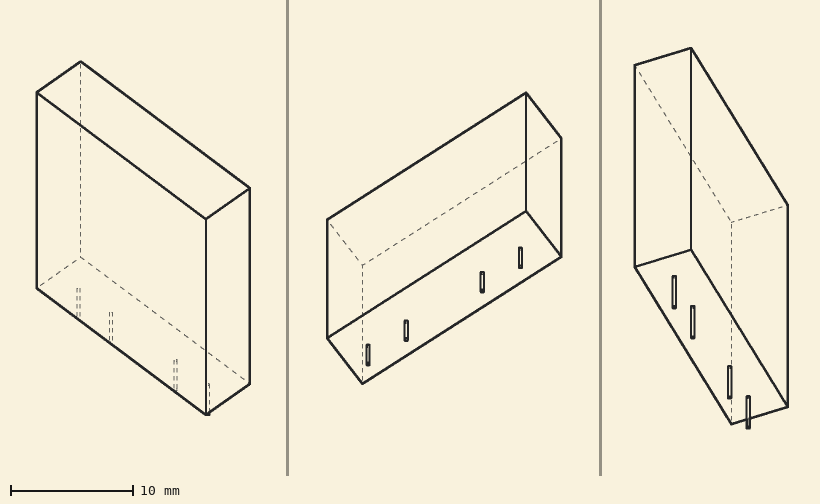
import cadquery as cq

total_height = 26.8
housing_width = 19.9
housing_depth = 5.05
pin_length = 3.5
housing_height = total_height - pin_length

pin_diameter = 0.255
pin_pitch = 3.8
pin_positions = (-2, -1, 1, 2)


def make_housing():
    """Plain rectangular block with its underside at Z = 0."""
    return cq.Workplane("XY").box(
        housing_width, housing_depth, housing_height, centered=(True, True, False)
    )


def make_pin(x):
    """Round pin hanging from the underside of the housing."""
    return cq.Workplane("XY").center(x, 0).circle(pin_diameter / 2).extrude(-pin_length)


housing = make_housing()
pins = [make_pin(position * pin_pitch) for position in pin_positions]

result = cq.Compound.makeCompound([housing.val(), *[pin.val() for pin in pins]])